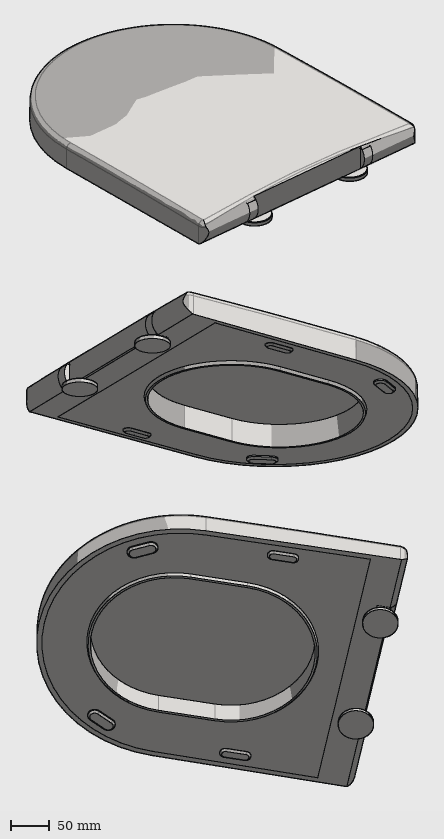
import cadquery as cq
import math

length = 457.0
width = 376.0
height = 45.2
front_radius = 186.0
side_draft = 1.0
rim_z = 4.5

crest_x = 220.8
crown_drop_front = 6.0
crown_drop_rear = 2.7
crown_drop_side = 5.0
edge_fillet = 7.5
crown_margin = 45.5

rear_x = 451.5
rear_bulge_z = 23.5
rear_bottom_x = 442.0
rear_top_x = 429.5
rear_corner_radius = 12.0
rear_allowance = 1.0

notch_floor_x = 444.0
notch_half_width = 108.0
knuckle_width = 14.5
knuckle_front_x = 425.0
knuckle_top_z = 36.0

disc_diameter = 46.0
disc_thickness = 6.0
disc_offset_y = 83.5
disc_chamfer = 1.0
disc_x = length - disc_diameter / 2

lid_wall = 7.0
cavity_top_z = 32.0
cavity_rear_x = 402.0

lip_front_x = 65.0
lip_rear_x = 366.5
lip_width = 226.5
lip_wall = 4.5
lip_draft = 20.0

buffer_edge = 2.7
front_buffer = dict(size=(41.0, 18.5), depth=rim_z, x=109.2, y=141.0, angle=29.0)
rear_buffer = dict(size=(41.0, 14.5), depth=3.0, x=290.2, y=163.5, angle=0.0)

sides = (-1, 1)


def plan(inset, end_x):
    """Flat outline of the lid moved inwards by inset and cut square at end_x."""
    radius = front_radius - inset
    half_width = width / 2
    reach = rear_x - front_radius
    distance = math.hypot(reach, half_width)
    tangent_angle = math.atan2(half_width, reach) + math.acos(front_radius / distance)
    tangent_x = front_radius + radius * math.cos(tangent_angle)
    tangent_y = radius * math.sin(tangent_angle)
    end_y = tangent_y - (end_x - tangent_x) / math.tan(tangent_angle)
    return (
        cq.Workplane("XY", origin=(0, 0, rim_z))
        .moveTo(end_x, -end_y)
        .lineTo(tangent_x, -tangent_y)
        .threePointArc((inset, 0), (tangent_x, tangent_y))
        .lineTo(end_x, end_y)
        .close()
    )


def rear_profile(front_x, y_start, y_end):
    """Slab from y_start to y_end that runs from front_x back to the bowed rear wall."""
    return (
        cq.Workplane("XZ", origin=(0, y_start, 0))
        .moveTo(front_x, rim_z)
        .lineTo(rear_bottom_x, rim_z)
        .threePointArc((rear_x, rear_bulge_z), (rear_top_x, height))
        .lineTo(front_x, height)
        .close()
        .extrude(y_start - y_end)
    )


def crown_block():
    """Block above the crowned top, a shallow arc across Y carried along a shallow arc in X."""
    half_width = width / 2
    front_run = crest_x + crown_margin
    rear_run = length - crest_x + crown_margin
    front_drop = crown_drop_front * (front_run / crest_x) ** 2
    rear_drop = crown_drop_rear * (rear_run / (length - crest_x)) ** 2
    start = (-crown_margin, height - front_drop)
    crest = (crest_x, height)
    end = (length + crown_margin, height - rear_drop)
    front_slope = 2 * front_drop / front_run
    rear_slope = -2 * rear_drop / rear_run
    path = cq.Workplane("XZ").spline(
        [start, crest, end], tangents=[(1, front_slope), (1, 0), (1, rear_slope)], scale=True
    )
    over = half_width + crown_margin
    over_drop = crown_drop_side * (over / half_width) ** 2
    return (
        cq.Workplane("YZ", origin=(start[0], 0, start[1]))
        .moveTo(-over, -over_drop)
        .threePointArc((0, 0), (over, -over_drop))
        .lineTo(over, height)
        .lineTo(-over, height)
        .close()
        .sweep(path)
    )


def rounded_plan():
    """Outline of the lid with rounded rear corners."""
    face = cq.Face.makeFromWires(plan(0, rear_x + rear_allowance).val())
    corners = [vertex for vertex in face.Vertices() if vertex.X > rear_x]
    rounded = face.fillet2D(rear_corner_radius, corners)
    return cq.Workplane("XY", origin=(0, 0, rim_z)).add(rounded.outerWire()).toPending()


def outer_body():
    """Solid with the whole outside of the lid, before anything is hollowed out."""
    body = rounded_plan().extrude(height, taper=side_draft)
    body = body.intersect(rear_profile(-crown_margin, -width, width))
    body = body.cut(crown_block())
    crown = cq.selectors.NearestToPointSelector((crest_x, 0, height))
    return body.faces(crown).edges().fillet(edge_fillet)


def block(x_start, x_end, y_start, y_end, z_start, z_end):
    """Box given by its limits."""
    return cq.Workplane("XY").box(
        x_end - x_start, y_end - y_start, z_end - z_start, centered=False
    ).translate((x_start, y_start, z_start))


def make_disc(side):
    """Round hinge base at one side."""
    return (
        cq.Workplane("XY", origin=(disc_x, side * disc_offset_y, 0))
        .circle(disc_diameter / 2)
        .extrude(disc_thickness)
        .faces(">Z")
        .chamfer(disc_chamfer)
    )


def make_knuckle(side):
    """Hinge knuckle that stands on its disc and ends flush with the rear wall of the lid."""
    outer = side * notch_half_width
    inner = side * (notch_half_width - knuckle_width)
    y_start = min(outer, inner)
    y_end = max(outer, inner)
    slab = rear_profile(knuckle_front_x, y_start, y_end)
    limits = block(knuckle_front_x, length, y_start, y_end, disc_thickness, knuckle_top_z)
    return slab.intersect(limits)


def make_lid(fittings):
    """Hollow lid with the rear notch and recesses for the hinge parts."""
    lid = outer_body()
    lid = lid.cut(plan(lid_wall, cavity_rear_x).extrude(cavity_top_z - rim_z))
    gap = notch_half_width - knuckle_width
    lid = lid.cut(block(notch_floor_x, length, -gap, gap, 0, height))
    for fitting in fittings:
        lid = lid.cut(fitting)
    return lid


def lip_outline(inset):
    """Stadium outline of the lip on the underside of the seat."""
    return (
        cq.Workplane("XY", origin=((lip_front_x + lip_rear_x) / 2, 0, rim_z))
        .slot2D(lip_rear_x - lip_front_x - 2 * inset, lip_width - 2 * inset)
    )


def make_buffer(size, depth, x, y, side, angle):
    """Slot-shaped pad with a bevelled edge that hangs below the seat."""
    return (
        cq.Workplane("XY", origin=(x, side * y, rim_z))
        .slot2D(*size, angle=side * angle)
        .extrude(-depth)
        .faces("<Z")
        .chamfer(buffer_edge)
    )


def make_seat():
    """Seat ring that fills the lid, with a lip around its opening and four buffers."""
    seat = plan(lid_wall, cavity_rear_x).extrude(cavity_top_z - rim_z)
    seat = seat.union(lip_outline(0).extrude(-rim_z, taper=lip_draft))
    seat = seat.cut(lip_outline(lip_wall).extrude(height, both=True))
    for side in sides:
        seat = seat.union(make_buffer(**front_buffer, side=side))
        seat = seat.union(make_buffer(**rear_buffer, side=side))
    return seat


discs = [make_disc(side) for side in sides]
knuckles = [make_knuckle(side) for side in sides]
lid = make_lid(discs + knuckles)
seat = make_seat()

bodies = [lid, seat, *discs, *knuckles]
result = cq.Compound.makeCompound([body.val() for body in bodies])